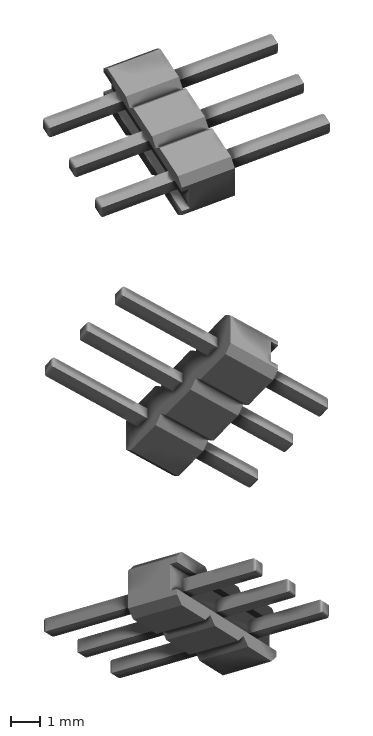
import cadquery as cq

pin_count = 3
pitch = 2.0
body_depth = 2.0
body_height = 2.0
corner_cut = 0.3
groove_height = 1.0
groove_depth = 0.3
pin_width = 0.5
front_pin_length = 2.7
back_pin_length = 4.0
tip_radius = 0.1

body_length = pin_count * pitch
pin_length = front_pin_length + body_depth + back_pin_length
pin_front_y = -pin_length / 2
body_front_y = pin_front_y + front_pin_length
pin_positions = [(i - (pin_count - 1) / 2) * pitch for i in range(pin_count)]


def box_from_front(length, depth, height, x, front_y):
    """Box centred on x and on Z = 0, running toward +Y from front_y."""
    return cq.Workplane("XY").box(length, depth, height).translate((x, front_y + depth / 2, 0))


def make_housing():
    housing = cq.Workplane("XY")
    for x in pin_positions:
        cell = box_from_front(pitch, body_depth, body_height, x, body_front_y)
        housing = housing.union(cell.edges("|Y").chamfer(corner_cut))
    groove = box_from_front(body_length, groove_depth, groove_height, 0, body_front_y)
    return housing.cut(groove)


def make_pin(x):
    pin = box_from_front(pin_width, pin_length, pin_width, x, pin_front_y)
    return pin.faces("<Y or >Y").edges().fillet(tip_radius)


result = make_housing()
for pin_x in pin_positions:
    result = result.union(make_pin(pin_x))